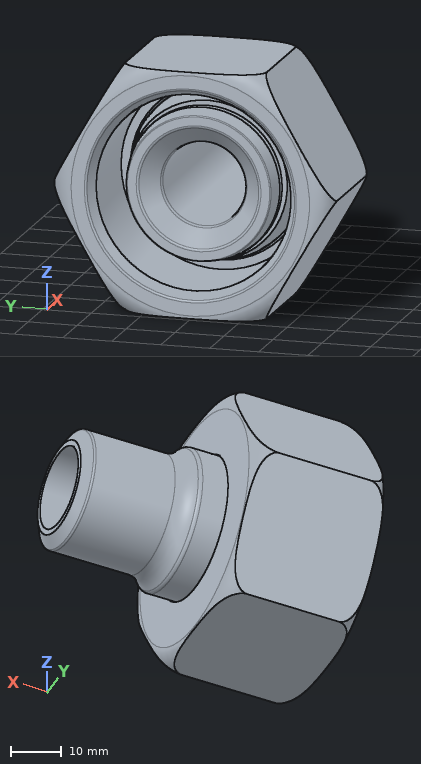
import cadquery as cq
import math


TOTAL_LENGTH = 58.45
HEX_ACROSS_FLATS = 50.0
NUT_LENGTH = 28.95

HEX_CORNER_RADIUS = HEX_ACROSS_FLATS / math.sqrt(3)
HEX_EDGE_ROUNDING = 4.5
THREAD_RADIUS = 39.8 / 2
MOUTH_CHAMFER_DEPTH = 2.5
MOUTH_CHAMFER_ANGLE = math.radians(30)
MOUTH_RADIUS = THREAD_RADIUS + MOUTH_CHAMFER_DEPTH * math.tan(MOUTH_CHAMFER_ANGLE)
MOUTH_EDGE_ROUNDING = 0.5
NUT_BORE_RADIUS = 30.2 / 2
SEAT_MOUTH_RADIUS = 18.0

NOSE_X = 5.85
COLLAR_RADIUS = 35.0 / 2
COLLAR_WIDTH = 1.75
NOSE_HALF_ANGLE = math.radians(12)
NOSE_TIP_RADIUS = 14.75
NOSE_EDGE_ROUNDING = 0.25
BORE_RADIUS = 17.1 / 2
FUNNEL_MOUTH_RADIUS = 12.45
FUNNEL_MOUTH_ROUNDING = 0.7
FUNNEL_END_ROUNDING = 1.0

SHANK_RADIUS = 29.95 / 2
SHANK_END_X = 34.45
SHANK_EDGE_ROUNDING = 1.0
NECK_FILLET = 5.0
WELD_END_RADIUS = 25.0 / 2
WELD_FACE_RADIUS = 9.7
WELD_BEVEL_ANGLE = math.radians(30)
WELD_EDGE_ROUNDING = 0.5

GROOVE_FRONT_RADIUS = 15.55
GROOVE_BACK_RADIUS = 16.2
GROOVE_FLOOR_RADIUS = 13.55

NOSE_TAPER = math.tan(NOSE_HALF_ANGLE)
COLLAR_X = NOSE_X + (COLLAR_RADIUS - NOSE_TIP_RADIUS) / NOSE_TAPER
SEAT_X = COLLAR_X + COLLAR_WIDTH
GROOVE_FRONT_X = NOSE_X + (GROOVE_FRONT_RADIUS - NOSE_TIP_RADIUS) / NOSE_TAPER
GROOVE_BACK_X = NOSE_X + (GROOVE_BACK_RADIUS - NOSE_TIP_RADIUS) / NOSE_TAPER
FUNNEL_END_X = NOSE_X + FUNNEL_MOUTH_RADIUS - BORE_RADIUS

EDGE_MARGIN = 0.03


def revolve_about_x(outline):
    """Turn a closed (x, radius) outline a full circle about the X axis."""
    return outline.close().revolve(360, (0, 0, 0), (1, 0, 0))


def cylinder(radius, start_x, end_x):
    """Solid cylinder on the X axis."""
    return cq.Workplane("YZ", origin=(start_x, 0, 0)).circle(radius).extrude(end_x - start_x)


def ring_edge(x, radius):
    """Selector for the circular edge around the X axis at this x, no larger than this radius."""
    reach = radius + EDGE_MARGIN
    near_corner = (x - EDGE_MARGIN, -reach, -reach)
    far_corner = (x + EDGE_MARGIN, reach, reach)
    return cq.selectors.BoxSelector(near_corner, far_corner, boundingbox=True)


def make_nut():
    """Union nut: rounded hexagon with a threaded cavity and a 45 degree seat."""
    hexagon = cq.Workplane("YZ").polygon(6, 2 * HEX_CORNER_RADIUS).extrude(NUT_LENGTH)
    rounded_blank = cylinder(HEX_CORNER_RADIUS, 0, NUT_LENGTH).edges().fillet(HEX_EDGE_ROUNDING)
    cavity_floor_x = SEAT_X - (SEAT_MOUTH_RADIUS - COLLAR_RADIUS)
    seat_end_x = SEAT_X + COLLAR_RADIUS - NUT_BORE_RADIUS
    cavity = revolve_about_x(
        cq.Workplane("XY")
        .moveTo(0, 0)
        .lineTo(0, MOUTH_RADIUS)
        .lineTo(MOUTH_CHAMFER_DEPTH, THREAD_RADIUS)
        .lineTo(cavity_floor_x, THREAD_RADIUS)
        .lineTo(cavity_floor_x, SEAT_MOUTH_RADIUS)
        .lineTo(seat_end_x, NUT_BORE_RADIUS)
        .lineTo(NUT_LENGTH, NUT_BORE_RADIUS)
        .lineTo(NUT_LENGTH, 0)
    )
    nut = hexagon.intersect(rounded_blank).cut(cavity)
    return nut.edges(ring_edge(0, MOUTH_RADIUS)).fillet(MOUTH_EDGE_ROUNDING)


def make_nipple_blank():
    """Solid outer form of the nipple, from the tapered nose to the weld end."""
    shoulder_end_x = SEAT_X + COLLAR_RADIUS - SHANK_RADIUS

    arc_sum = SHANK_EDGE_ROUNDING + NECK_FILLET
    meeting_angle = math.acos(1 - (SHANK_RADIUS - WELD_END_RADIUS) / arc_sum)

    def on_shank_rounding(angle):
        x = SHANK_END_X + SHANK_EDGE_ROUNDING * math.sin(angle)
        return (x, SHANK_RADIUS - SHANK_EDGE_ROUNDING * (1 - math.cos(angle)))

    neck_end_x = SHANK_END_X + arc_sum * math.sin(meeting_angle)

    def on_neck_fillet(angle):
        x = neck_end_x - NECK_FILLET * math.sin(angle)
        return (x, WELD_END_RADIUS + NECK_FILLET * (1 - math.cos(angle)))

    bevel_x = TOTAL_LENGTH - (WELD_END_RADIUS - WELD_FACE_RADIUS) * math.tan(WELD_BEVEL_ANGLE)
    blank = revolve_about_x(
        cq.Workplane("XY")
        .moveTo(NOSE_X, 0)
        .lineTo(NOSE_X, NOSE_TIP_RADIUS)
        .lineTo(COLLAR_X, COLLAR_RADIUS)
        .lineTo(SEAT_X, COLLAR_RADIUS)
        .lineTo(shoulder_end_x, SHANK_RADIUS)
        .lineTo(SHANK_END_X, SHANK_RADIUS)
        .threePointArc(on_shank_rounding(meeting_angle / 2), on_shank_rounding(meeting_angle))
        .threePointArc(on_neck_fillet(meeting_angle / 2), (neck_end_x, WELD_END_RADIUS))
        .lineTo(bevel_x, WELD_END_RADIUS)
        .lineTo(TOTAL_LENGTH, WELD_FACE_RADIUS)
        .lineTo(TOTAL_LENGTH, 0)
    )
    blank = blank.edges(ring_edge(bevel_x, WELD_END_RADIUS)).fillet(WELD_EDGE_ROUNDING)
    return blank.edges(ring_edge(NOSE_X, NOSE_TIP_RADIUS)).fillet(NOSE_EDGE_ROUNDING)


def make_bore():
    """Through bore that opens into a 45 degree funnel at the nose."""
    return revolve_about_x(
        cq.Workplane("XY")
        .moveTo(NOSE_X, 0)
        .lineTo(NOSE_X, FUNNEL_MOUTH_RADIUS)
        .lineTo(FUNNEL_END_X, BORE_RADIUS)
        .lineTo(TOTAL_LENGTH, BORE_RADIUS)
        .lineTo(TOTAL_LENGTH, 0)
    )


def make_nipple():
    """Weld nipple: bored blank with rounded funnel edges and the sealing ring groove."""
    nipple = make_nipple_blank().cut(make_bore())
    nipple = nipple.edges(ring_edge(NOSE_X, FUNNEL_MOUTH_RADIUS)).fillet(FUNNEL_MOUTH_ROUNDING)
    nipple = nipple.edges(ring_edge(FUNNEL_END_X, BORE_RADIUS)).fillet(FUNNEL_END_ROUNDING)
    return nipple.cut(make_seal_groove())


def make_seal_groove():
    """Annular space that the groove takes out of the nose."""
    ring = cylinder(COLLAR_RADIUS, GROOVE_FRONT_X, GROOVE_BACK_X)
    return ring.cut(cylinder(GROOVE_FLOOR_RADIUS, GROOVE_FRONT_X, GROOVE_BACK_X))


def make_seal_ring():
    """O-ring of round section that lies on the groove floor, flush with the front groove edge."""
    section_radius = (GROOVE_FRONT_RADIUS - GROOVE_FLOOR_RADIUS) / 2
    ring_radius = GROOVE_FLOOR_RADIUS + section_radius
    middle_x = (GROOVE_FRONT_X + GROOVE_BACK_X) / 2
    return cq.Workplane(cq.Solid.makeTorus(ring_radius, section_radius, (middle_x, 0, 0), (1, 0, 0)))


nut = make_nut()
nipple = make_nipple()
seal_ring = make_seal_ring()

result = cq.Compound.makeCompound([nut.val(), nipple.val(), seal_ring.val()])